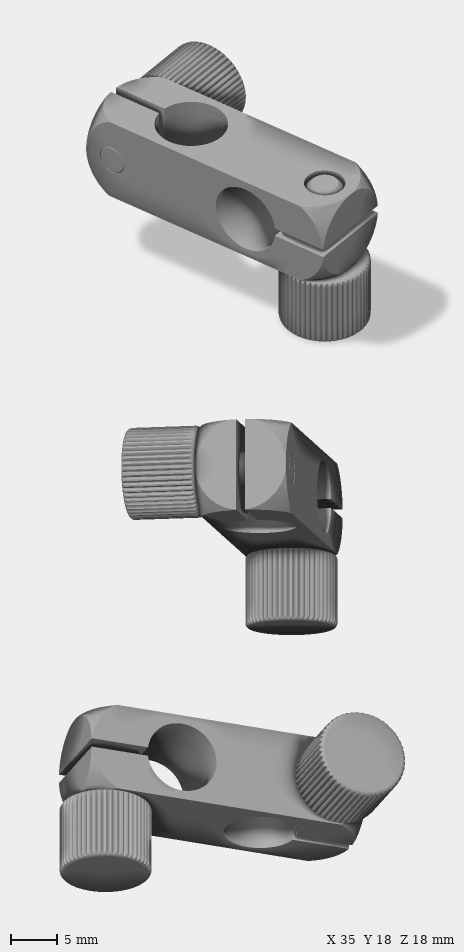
import cadquery as cq
import math

block_length = 32.0
block_side = 10.0
half_length = block_length / 2
half_side = block_side / 2
end_dome_radius = 7.5

rod_bore_diameter = 8.0
rod_bore_offset = 5.5
slot_width = 1.0
screw_offset = 12.5
clearance_hole_diameter = 4.5
tapped_hole_diameter = 3.3

shank_diameter = 4.0
shank_length = block_side
tip_chamfer = 0.5
knob_radius = 5.0
knob_length = 8.0
knob_rim_fillet = 0.5
knurl_count = 50
knurl_depth = 0.25
knurl_groove_share = 0.7


def rim_point(radius, angle):
    """Point on a circle about the knob axis, angle in degrees."""
    return (radius * math.cos(math.radians(angle)), radius * math.sin(math.radians(angle)))


def make_knurled_blank():
    """Cylinder with straight V-grooves and round crests, from Z = -knob_length to Z = 0."""
    pitch = 360 / knurl_count
    half_groove = pitch * knurl_groove_share / 2
    base = cq.Workplane("XY", origin=(0, 0, -knob_length))
    outline = base.moveTo(*rim_point(knob_radius, -half_groove))
    for groove in range(knurl_count):
        middle = groove * pitch
        outline = outline.lineTo(*rim_point(knob_radius - knurl_depth, middle))
        outline = outline.lineTo(*rim_point(knob_radius, middle + half_groove))
        outline = outline.threePointArc(
            rim_point(knob_radius, middle + pitch / 2),
            rim_point(knob_radius, middle + pitch - half_groove),
        )
    return outline.close().extrude(knob_length)


def make_rounded_envelope():
    """Plain cylinder, rounded at both rims, that limits the knurled blank."""
    return (
        cq.Workplane("XY")
        .circle(knob_radius)
        .extrude(-knob_length)
        .faces("|Z")
        .edges()
        .fillet(knob_rim_fillet)
    )


def make_thumbscrew():
    """Thumbscrew pointing up +Z, with its knob seated at Z = 0."""
    knob = make_knurled_blank().intersect(make_rounded_envelope())
    shank = (
        cq.Workplane("XY")
        .circle(shank_diameter / 2)
        .extrude(shank_length)
        .faces(">Z")
        .chamfer(tip_chamfer)
    )
    return knob.union(shank)


def make_bar():
    """Square bar with its corners rounded to a sphere at both ends, leaving full-width end disks."""
    bar = cq.Workplane("XY").box(block_length, block_side, block_side)
    dome_center = half_length - math.sqrt(end_dome_radius**2 - half_side**2)
    arc_rise = end_dome_radius * math.sqrt(0.5)
    envelope = (
        cq.Workplane("XY")
        .moveTo(-half_length, 0)
        .lineTo(-half_length, half_side)
        .threePointArc((-dome_center - arc_rise, arc_rise), (-dome_center, end_dome_radius))
        .lineTo(dome_center, end_dome_radius)
        .threePointArc((dome_center + arc_rise, arc_rise), (half_length, half_side))
        .lineTo(half_length, 0)
        .close()
        .revolve(360, (0, 0, 0), (1, 0, 0))
    )
    return bar.intersect(envelope)


def cut_rod_clamp(bar, bore_plane, side):
    """Rod bore along the plane normal, with a slot out to the end of the bar on the given X side."""
    bore = (
        cq.Workplane(bore_plane)
        .center(side * rod_bore_offset, 0)
        .circle(rod_bore_diameter / 2)
        .extrude(half_side, both=True)
    )
    slot_length = half_length - rod_bore_offset
    slot = (
        cq.Workplane(bore_plane)
        .center(side * (rod_bore_offset + slot_length / 2), 0)
        .rect(slot_length, slot_width)
        .extrude(half_side, both=True)
    )
    return bar.cut(bore).cut(slot)


vertical_screw = make_thumbscrew().translate((screw_offset, 0, -half_side))
horizontal_screw = (
    make_thumbscrew()
    .rotate((0, 0, 0), (1, 0, 0), 90)
    .translate((-screw_offset, half_side, 0))
)

block = make_bar()
block = cut_rod_clamp(block, "XZ", 1)
block = cut_rod_clamp(block, "XY", -1)

clearance_hole = (
    cq.Workplane("XY")
    .center(screw_offset, 0)
    .circle(clearance_hole_diameter / 2)
    .extrude(half_side)
)
tapped_hole = (
    cq.Workplane("XZ")
    .center(-screw_offset, 0)
    .circle(tapped_hole_diameter / 2)
    .extrude(half_side)
)
block = block.cut(clearance_hole).cut(tapped_hole)

block = block.cut(vertical_screw).cut(horizontal_screw)

result = cq.Compound.makeCompound([
    block.solids().val(),
    vertical_screw.solids().val(),
    horizontal_screw.solids().val(),
])